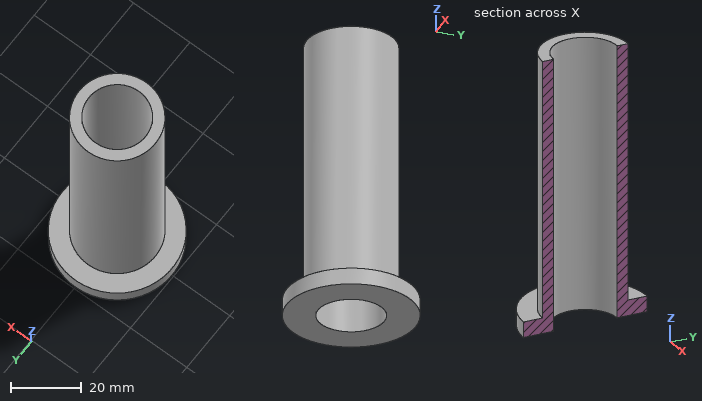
import cadquery as cq

total_height = 85.0
flange_diameter = 39.0
flange_thickness = 5.0
sleeve_diameter = 27.0
bore_diameter = 20.0


def cylinder(diameter, height):
    """Cylinder on the Z axis with its base at Z = 0."""
    return cq.Workplane("XY").circle(diameter / 2).extrude(height)


flange = cylinder(flange_diameter, flange_thickness)
sleeve = cylinder(sleeve_diameter, total_height)
bore = cylinder(bore_diameter, total_height)

result = flange.union(sleeve).cut(bore)